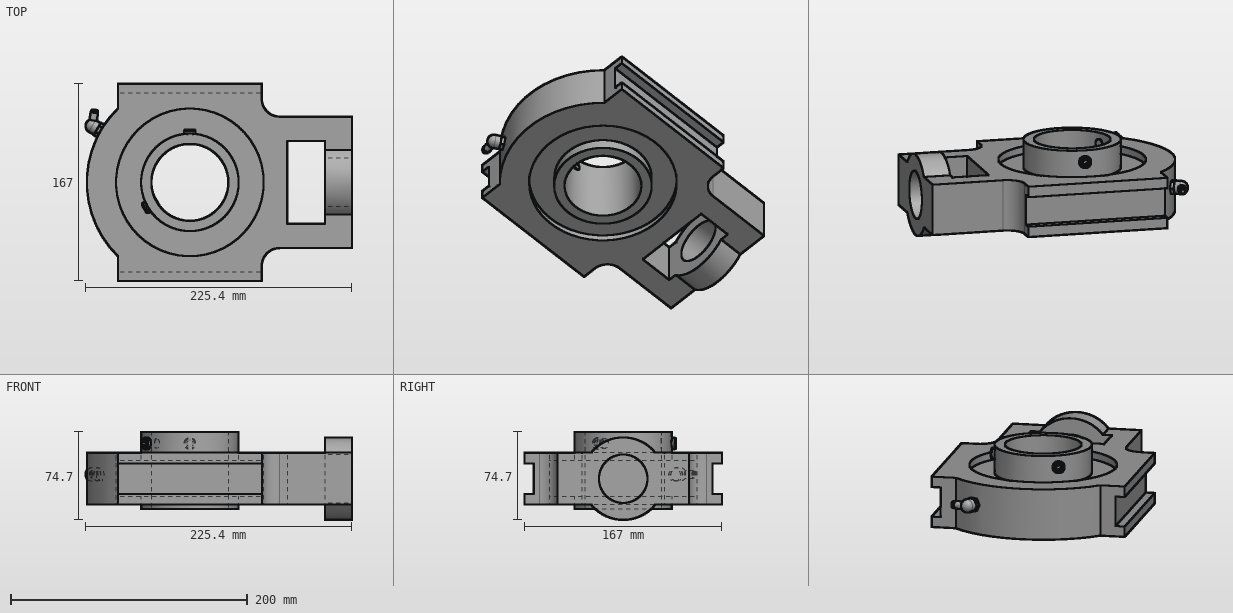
import cadquery as cq
import math


plate_thickness = 44.0
plate_width = 167.0
plate_half_width = plate_width / 2
nose_radius = 87.2
shoulder_x = 60.9
neck_half_width = 55.7
neck_fillet = 14.9
end_x = 137.0

groove_width = 25.7
groove_depth = 8.0

window_start_x = 82.5
boss_length = 23.0
window_width = 69.9
boss_diameter = 69.9
boss_hole_diameter = 41.0
boss_start_x = end_x - boss_length

seat_diameter = 125.0
seat_recess = 6.8
ring_diameter = 82.5
bore_diameter = 65.0
ring_top_z = 39.7
ring_bottom_z = -25.7
insert_width = plate_thickness - 2 * seat_recess

screw_diameter = 10.0
screw_end_diameter = 8.1
screw_taper_length = 1.1
screw_inner_radius = 32.0
screw_outer_radius = 44.6
screw_z = 29.8
screw_angles = (90, 210)
socket_across_flats = 5.0
socket_depth = 4.5

nipple_angle = 150
nipple_z = 3.5
nipple_ball_diameter = 11.5
nipple_ball_radius_position = 95.4
nipple_hex_flats = 10.5
nipple_hex_end = 90.5
nipple_root = 84.5
stem_angle = 81
stem_diameter = 6.5
stem_length = 14.0
stem_tip_length = 2.7
stem_tip_diameter = 5.6
stem_tip_chamfer = 1.0


def hex_corner_diameter(across_flats):
    return across_flats / math.cos(math.pi / 6)


def radial_plane(angle, distance, z):
    """Plane facing outward from the bore axis at the given angle and distance."""
    direction = (math.cos(math.radians(angle)), math.sin(math.radians(angle)))
    origin = (distance * direction[0], distance * direction[1], z)
    x_direction = (-direction[1], direction[0], 0)
    return cq.Plane(origin=origin, xDir=x_direction, normal=(*direction, 0))


def radial_spindle(angle, origin, profile):
    """Solid of revolution along a horizontal axis; profile holds (distance, radius) pairs."""
    direction = (math.cos(math.radians(angle)), math.sin(math.radians(angle)), 0)
    plane = cq.Plane(origin=origin, xDir=direction, normal=(0, 0, 1))
    points = [(profile[0][0], 0), *profile, (profile[-1][0], 0)]
    return cq.Workplane(plane).polyline(points).close().revolve(360, (0, 0), (1, 0))


def make_plate():
    nose_y = math.sqrt(nose_radius**2 - shoulder_x**2)
    fillet_y = neck_half_width + neck_fillet
    fillet_x = shoulder_x + neck_fillet
    arc_offset = neck_fillet * math.sqrt(0.5)
    arc_x = fillet_x - arc_offset
    arc_y = fillet_y - arc_offset
    return (
        cq.Workplane("XY")
        .workplane(offset=-plate_thickness / 2)
        .moveTo(-shoulder_x, nose_y)
        .lineTo(-shoulder_x, plate_half_width)
        .lineTo(shoulder_x, plate_half_width)
        .lineTo(shoulder_x, fillet_y)
        .threePointArc((arc_x, arc_y), (fillet_x, neck_half_width))
        .lineTo(end_x, neck_half_width)
        .lineTo(end_x, -neck_half_width)
        .lineTo(fillet_x, -neck_half_width)
        .threePointArc((arc_x, -arc_y), (shoulder_x, -fillet_y))
        .lineTo(shoulder_x, -plate_half_width)
        .lineTo(-shoulder_x, -plate_half_width)
        .lineTo(-shoulder_x, -nose_y)
        .threePointArc((-nose_radius, 0), (-shoulder_x, nose_y))
        .close()
        .extrude(plate_thickness)
    )


def make_guide_grooves():
    between_lips = cq.Workplane("XY").box(2 * shoulder_x, 2 * plate_half_width, groove_width)
    web_width = 2 * (plate_half_width - groove_depth)
    return between_lips.cut(cq.Workplane("XY").box(2 * shoulder_x, web_width, groove_width))


def make_grease_nipple():
    base = (
        cq.Workplane(radial_plane(nipple_angle, nipple_root, nipple_z))
        .polygon(6, hex_corner_diameter(nipple_hex_flats))
        .extrude(nipple_hex_end - nipple_root)
    )
    ball_center = radial_plane(nipple_angle, nipple_ball_radius_position, nipple_z).origin
    ball_radius = nipple_ball_diameter / 2
    direction = radial_plane(nipple_angle, 0, 0).zDir
    domed_profile_plane = cq.Plane(origin=ball_center, xDir=direction, normal=(0, 0, 1))
    collar_length = nipple_ball_radius_position - nipple_hex_end
    domed_collar = (
        cq.Workplane(domed_profile_plane)
        .moveTo(-collar_length, 0)
        .lineTo(-collar_length, ball_radius)
        .lineTo(0, ball_radius)
        .radiusArc((ball_radius, 0), ball_radius)
        .close()
        .revolve(360, (0, 0), (1, 0))
    )
    stem_profile = [
        (0, stem_diameter / 2),
        (stem_length - stem_tip_length, stem_diameter / 2),
        (stem_length - stem_tip_length, stem_tip_diameter / 2),
        (stem_length - stem_tip_chamfer, stem_tip_diameter / 2),
        (stem_length, stem_tip_diameter / 2 - stem_tip_chamfer),
    ]
    stem = radial_spindle(stem_angle, ball_center, stem_profile)
    return base.union(domed_collar).union(stem)


def make_housing():
    boss = (
        cq.Workplane("YZ")
        .workplane(offset=boss_start_x)
        .circle(boss_diameter / 2)
        .extrude(boss_length)
    )
    boss_hole = (
        cq.Workplane("YZ")
        .workplane(offset=boss_start_x)
        .circle(boss_hole_diameter / 2)
        .extrude(boss_length)
    )
    window_length = boss_start_x - window_start_x
    window = (
        cq.Workplane("XY")
        .center(window_start_x + window_length / 2, 0)
        .box(window_length, window_width, plate_thickness)
    )
    seat = cq.Workplane("XY").cylinder(plate_thickness, seat_diameter / 2)
    return (
        make_plate()
        .cut(make_guide_grooves())
        .cut(window)
        .union(boss)
        .cut(boss_hole)
        .cut(seat)
        .union(make_grease_nipple())
    )


def make_set_screw(angle):
    profile = [
        (screw_inner_radius, screw_end_diameter / 2),
        (screw_inner_radius + screw_taper_length, screw_diameter / 2),
        (screw_outer_radius - screw_taper_length, screw_diameter / 2),
        (screw_outer_radius, screw_end_diameter / 2),
    ]
    return radial_spindle(angle, (0, 0, screw_z), profile)


def make_screw_socket(angle):
    return (
        cq.Workplane(radial_plane(angle, screw_outer_radius, screw_z).rotated((0, 0, 90)))
        .polygon(6, hex_corner_diameter(socket_across_flats))
        .extrude(-socket_depth)
    )


def make_insert():
    insert = cq.Workplane("XY").cylinder(insert_width, seat_diameter / 2)
    ring_height = ring_top_z - ring_bottom_z
    ring_base = cq.Workplane("XY").workplane(offset=ring_bottom_z)
    insert = insert.union(ring_base.circle(ring_diameter / 2).extrude(ring_height))
    insert = insert.cut(ring_base.circle(bore_diameter / 2).extrude(ring_height))
    for angle in screw_angles:
        insert = insert.union(make_set_screw(angle)).cut(make_screw_socket(angle))
    return insert


housing = make_housing()
insert = make_insert()
result = cq.Compound.makeCompound([housing.val(), insert.val()])